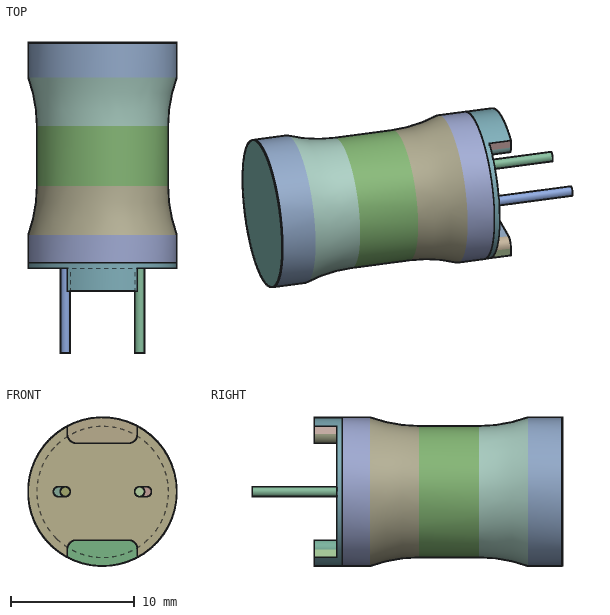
import cadquery as cq


core_radius = 6.0
core_length = 18.25

sleeve_wall = 0.015
sleeve_start = 0.45
top_bare_band = 0.08
sleeve_end = core_length - top_bare_band

lower_flange_end = 2.7
waist_start = 6.65
waist_end = 11.5
upper_flange_start = 15.43
waist_depth = 0.7

foot_width = 5.66
foot_height = 1.82
foot_inner_offset = 3.9
foot_corner_radius = 0.75

lead_diameter = 0.8
lead_length = 6.82
lead_offset = 3.0
slot_shift = 0.56
slot_depth = 0.05


def axial_cylinder(radius, start, end):
    """Cylinder around the Y axis between two Y positions."""
    return cq.Workplane("XZ", origin=(0, start, 0)).circle(radius).extrude(start - end)


def flare_midpoint(waist_radius, waist_y, flange_y):
    """Point halfway along a flare arc that is tangent to the waist."""
    run = flange_y - waist_y
    arc_radius = (run**2 + waist_depth**2) / (2 * waist_depth)
    half_run = run / 2
    half_rise = arc_radius - (arc_radius**2 - half_run**2) ** 0.5
    return (waist_radius + half_rise, waist_y + half_run)


def waisted_body(flange_radius, start, end):
    """Solid of revolution with two flanges that sweep down to a narrower waist."""
    waist_radius = flange_radius - waist_depth
    return (
        cq.Workplane("XY")
        .moveTo(0, start)
        .lineTo(flange_radius, start)
        .lineTo(flange_radius, lower_flange_end)
        .threePointArc(
            flare_midpoint(waist_radius, waist_start, lower_flange_end),
            (waist_radius, waist_start),
        )
        .lineTo(waist_radius, waist_end)
        .threePointArc(
            flare_midpoint(waist_radius, waist_end, upper_flange_start),
            (flange_radius, upper_flange_start),
        )
        .lineTo(flange_radius, end)
        .lineTo(0, end)
        .close()
        .revolve(360, (0, 0, 0), (0, 1, 0))
    )


def make_foot(side):
    """Foot trimmed to the core's round outline, on the +Z or -Z side."""
    block_depth = core_radius - foot_inner_offset
    block_center = side * (foot_inner_offset + block_depth / 2)
    inner_edges = "<Z" if side > 0 else ">Z"
    block = (
        cq.Workplane("XY")
        .box(foot_width, foot_height, block_depth)
        .faces(inner_edges)
        .edges("|Y")
        .fillet(foot_corner_radius)
        .translate((0, -foot_height / 2, block_center))
    )
    return block.intersect(axial_cylinder(core_radius, -foot_height, 0))


def make_slot(side):
    """Cutter for the shallow slot reaching outward from a lead."""
    return (
        cq.Workplane("XZ")
        .center(side * (lead_offset + slot_shift / 2), 0)
        .slot2D(slot_shift + lead_diameter, lead_diameter)
        .extrude(-slot_depth)
    )


def make_lead(side):
    """Straight round lead rooted in the slot floor."""
    lead = axial_cylinder(lead_diameter / 2, -lead_length, slot_depth)
    return lead.translate((side * lead_offset, 0, 0))


def make_core():
    """Waisted drum in one piece with its feet and leads."""
    core = waisted_body(core_radius, 0, core_length)
    for side in (-1, 1):
        core = core.union(make_foot(side))
        core = core.cut(make_slot(side))
        core = core.union(make_lead(side))
    return core


def make_sleeve():
    """Thin sleeve that follows the outside of the core."""
    outer = waisted_body(core_radius + sleeve_wall, sleeve_start, sleeve_end)
    inner = waisted_body(core_radius, 0, core_length)
    return outer.cut(inner)


core = make_core()
sleeve = make_sleeve()

result = cq.Compound.makeCompound([*core.solids().vals(), *sleeve.solids().vals()])